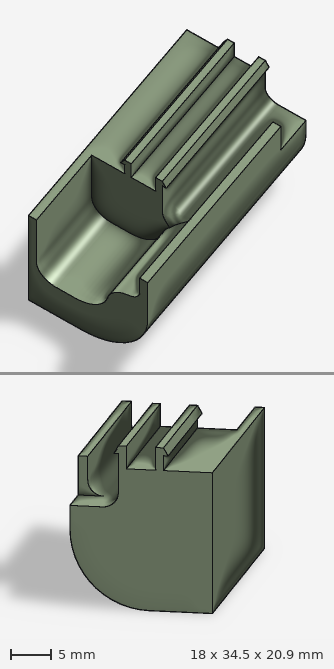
import cadquery as cq
import math

side = 18.0
length = 34.5
corner_radius = 10.0
wall = 1.2

channel_left = 11.87
channel_right = side - wall
channel_floor = 13.0
channel_radius = 2.0
wall_length = 29.0

basin_length = 12.05
basin_floor = 6.0
basin_left_radius = 3.0
basin_flat_end = 7.05
basin_right_radius = 5.0
crest_radius = 4.0

hook_height = 2.9
hook_stem = 1.0
left_hook_x = 6.18
hook_overhang = 0.6
hook_head = 1.0

clearance = 1.72
cut_top = side + hook_height + clearance


def along_y(sketch_points, start, end):
    """Extrude a closed XZ polygon between two Y positions."""
    return (cq.Workplane("XZ", origin=(0, start, 0))
            .polyline(sketch_points).close().extrude(start - end))


def point_between(start, end, distance):
    """Point at a given distance from start on the line towards end."""
    span = math.dist(start, end)
    return tuple(a + (b - a) * distance / span for a, b in zip(start, end))


def arc_middle(center, start, end):
    """Middle of the shorter arc about center from start to end."""
    chord_middle = tuple((a + b) / 2 for a, b in zip(start, end))
    return point_between(center, chord_middle, math.dist(center, start))


def make_body():
    block = cq.Workplane("XY").box(side, length, side, centered=False)
    return block.edges("|Y").edges(">X and <Z").fillet(corner_radius)


def make_basin(depth):
    """Basin whose right side rises in an S-curve, tangent to the channel fillet."""
    bowl_center = (basin_flat_end, basin_floor + basin_right_radius)
    fillet_center = (channel_right - channel_radius, channel_floor + channel_radius)

    span = math.dist(bowl_center, fillet_center)
    to_bowl = basin_right_radius + crest_radius
    to_fillet = channel_radius + crest_radius
    along = (to_bowl**2 - to_fillet**2 + span**2) / (2 * span)
    across = math.sqrt(to_bowl**2 - along**2)
    unit_x = (fillet_center[0] - bowl_center[0]) / span
    unit_z = (fillet_center[1] - bowl_center[1]) / span
    crest_center = (bowl_center[0] + along * unit_x + across * unit_z,
                    bowl_center[1] + along * unit_z - across * unit_x)

    bowl_start = (basin_flat_end, basin_floor)
    bowl_end = point_between(bowl_center, crest_center, basin_right_radius)
    crest_end = point_between(fillet_center, crest_center, channel_radius)
    wall_start = (channel_right, fillet_center[1])
    left_center = (wall + basin_left_radius, basin_floor + basin_left_radius)
    left_start = (wall, left_center[1])
    left_end = (left_center[0], basin_floor)

    return (cq.Workplane("XZ")
            .moveTo(wall, cut_top)
            .lineTo(*left_start)
            .threePointArc(arc_middle(left_center, left_start, left_end), left_end)
            .lineTo(*bowl_start)
            .threePointArc(arc_middle(bowl_center, bowl_start, bowl_end), bowl_end)
            .threePointArc(arc_middle(crest_center, bowl_end, crest_end), crest_end)
            .threePointArc(arc_middle(fillet_center, crest_end, wall_start), wall_start)
            .lineTo(channel_right, cut_top)
            .close().extrude(-depth))


def make_channel():
    """Round-bottomed channel; behind the right wall its floor runs out to the side."""
    channel = (cq.Workplane("XY")
               .box(channel_right - channel_left, wall_length, cut_top - channel_floor, centered=False)
               .translate((channel_left, 0, channel_floor))
               .edges("|Y and <Z").fillet(channel_radius))
    rear = (cq.Workplane("XY")
            .box(side + clearance - channel_left, length - wall_length, cut_top - channel_floor,
                 centered=False)
            .translate((channel_left, wall_length, channel_floor))
            .edges("|Y").edges("<X and <Z").fillet(channel_radius))
    return channel.union(rear)


def make_channel_mouth():
    """Floor and left fillet of the channel, rolled down over a round lip into the basin."""
    lip_y = basin_length + channel_radius
    lip_z = channel_floor - channel_radius
    fillet_center = (channel_left + channel_radius, channel_radius * 2)
    floor_start = (fillet_center[0], channel_radius)
    fillet_start = (channel_left, fillet_center[1])
    outer = channel_radius * 3
    rolled = (cq.Workplane("XZ", origin=(0, lip_y, lip_z))
              .moveTo(channel_left, outer)
              .lineTo(*fillet_start)
              .threePointArc(arc_middle(fillet_center, fillet_start, floor_start), floor_start)
              .lineTo(channel_right, channel_radius)
              .lineTo(channel_right, outer)
              .close().revolve(90, (0, 0, 0), (1, 0, 0)))
    return rolled.intersect(make_basin(lip_y))


def make_hook(inner_x, outward):
    """Snap hook whose barb points along X in the outward direction (+1 or -1)."""
    top = side + hook_height
    stem_x = inner_x + outward * hook_stem
    barb_z = top - hook_head
    points = [
        (inner_x, channel_floor + channel_radius * 2),
        (inner_x, top),
        (stem_x, top),
        (stem_x + outward * hook_overhang, barb_z),
        (stem_x, barb_z),
        (stem_x, channel_floor + channel_radius * 2),
    ]
    return along_y(points, basin_length, length)


result = make_body().cut(make_basin(basin_length)).cut(make_channel()).cut(make_channel_mouth())
result = result.union(make_hook(left_hook_x + hook_stem, -1))
result = result.union(make_hook(channel_left - hook_stem, 1))